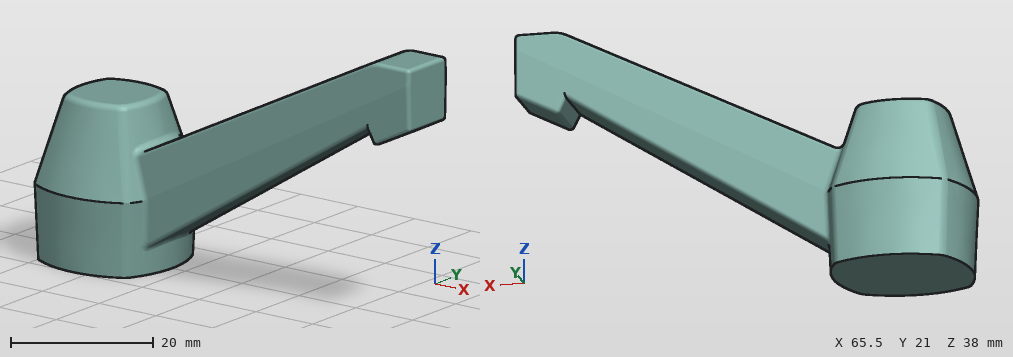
import cadquery as cq
import math


hub_height = 24.0
shoulder_height = 11.05
shoulder_half_width = 10.5
hub_side_radius = 15.4
upper_taper = 17.4
lower_taper = 2.5
hub_corner_fillet = 2.3
hub_top_fillet = 1.1

overall_length = 65.5
overall_height = 38.0
handle_end = overall_length - shoulder_half_width
handle_root = 3.9
handle_angle = 26.7
crease_x = 48.5
tip_x = 48.7
tip_z = 25.8
notch_depth = 2.6
underside_angle = 32.3
crease_fillet = 4.6

parting_start_z = 11.2
parting_end_z = 35.8
parting_start_x = 9.5
root_width = 11.1
end_width = 9.0
side_draft = 2.5
overrun = 19.65

handle_edge_fillet = 0.6
junction_fillet = 1.0

seam_depth = 3.3
seam_half_width = 5.8
seam_bottom = 1.3
seam_top = 19.65


def slope(angle):
    return math.tan(math.radians(angle))


def hub_side(turn):
    """Double cone carrying one bulged side of the hub, turned about Z."""
    axis_offset = hub_side_radius - shoulder_half_width
    bottom_radius = hub_side_radius - shoulder_height * slope(lower_taper)
    top_radius = hub_side_radius - (hub_height - shoulder_height) * slope(upper_taper)
    cone = (
        cq.Workplane("XZ")
        .polyline([
            (0, 0),
            (bottom_radius, 0),
            (hub_side_radius, shoulder_height),
            (top_radius, hub_height),
            (0, hub_height),
        ])
        .close()
        .revolve(360, (0, 0, 0), (0, 1, 0))
        .translate((-axis_offset, 0, 0))
    )
    return cone.rotate((0, 0, 0), (0, 0, 1), turn)


def make_hub():
    hub = hub_side(0)
    for turn in (90, 180, 270):
        hub = hub.intersect(hub_side(turn))
    hub = hub.edges("%HYPERBOLA").fillet(hub_corner_fillet)
    return hub.faces(">Z").edges().fillet(hub_top_fillet)


def make_handle_profile():
    """Side outline of the handle, spanning more than its width."""
    rise = slope(handle_angle)
    angle = math.radians(handle_angle)
    notch_x = tip_x - notch_depth * math.sin(angle)
    notch_z = tip_z + notch_depth * math.cos(angle)
    profile = (
        cq.Workplane("XZ")
        .polyline([
            (handle_root, overall_height - (crease_x - handle_root) * rise),
            (crease_x, overall_height),
            (handle_end, overall_height),
            (handle_end, tip_z + (handle_end - tip_x) * rise),
            (tip_x, tip_z),
            (notch_x, notch_z),
            (handle_root, notch_z - (notch_x - handle_root) * slope(underside_angle)),
        ])
        .close()
        .extrude(root_width, both=True)
    )
    crease = cq.selectors.NearestToPointSelector((crease_x, 0, overall_height))
    return profile.edges(crease).fillet(crease_fillet)


def make_handle_width():
    """Plan taper of the handle, drafted to both sides of the sloping parting plane."""
    run = handle_end - parting_start_x
    rise = parting_end_z - parting_start_z
    parting_length = math.hypot(run, rise)
    narrowing = (root_width - end_width) / parting_length
    start_half = (root_width + overrun * narrowing) / 2
    end_half = (end_width - overrun * narrowing) / 2
    parting_plane = cq.Plane(
        origin=(parting_start_x, 0, parting_start_z),
        xDir=(run, 0, rise),
        normal=(-rise, 0, run),
    )
    corners = [
        (-overrun, -start_half),
        (parting_length + overrun, -end_half),
        (parting_length + overrun, end_half),
        (-overrun, start_half),
    ]
    halves = [
        cq.Workplane(parting_plane).polyline(corners).close().extrude(depth, taper=side_draft)
        for depth in (overrun, -overrun)
    ]
    return halves[0].union(halves[1])


def make_handle():
    handle = make_handle_profile().intersect(make_handle_width())
    long_edges = handle.edges("not |Y").sort(lambda edge: edge.Length())
    rim = long_edges[:-2]
    rim = rim.add(handle.faces(">X").edges("|Y"))
    rim = rim.add(handle.edges(cq.selectors.NearestToPointSelector((tip_x, 0, tip_z))))
    return rim.fillet(handle_edge_fillet)


def round_seam(lever, bottom, top):
    """Round the seam edges between hub and handle whose centres lie between two heights."""
    seam = cq.selectors.BoxSelector(
        (shoulder_half_width - seam_depth, -seam_half_width, bottom),
        (shoulder_half_width, seam_half_width, top),
    )
    return lever.edges(seam).fillet(junction_fillet)


def make_lever():
    lever = make_hub().union(make_handle())
    lever = round_seam(lever, seam_bottom, shoulder_height)
    return round_seam(lever, parting_start_z, seam_top)


result = make_lever()